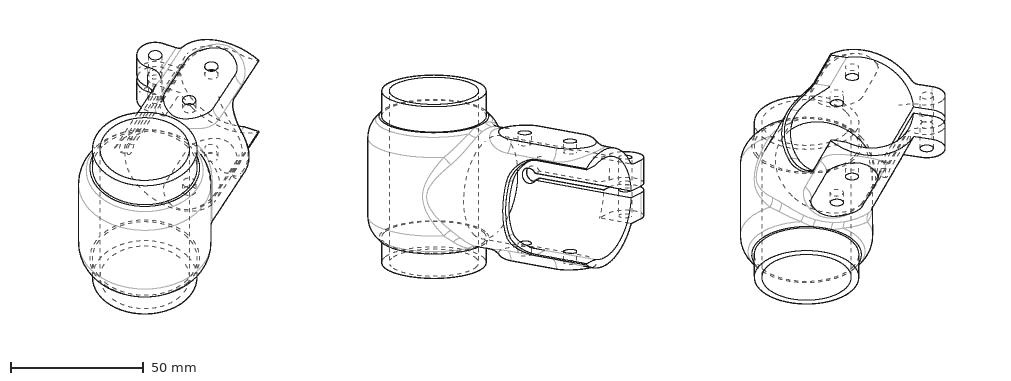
import cadquery as cq
import math

body_radius = 25.0
body_height = 48.0
collar_diameter = 39.5
sleeve_height = 68.0
sleeve_bore = 33.7
shoulder_radius = 10.0
shoulder_chamfer = 4.3

arm_radius = 23.0
arm_end_y = 75.0
arm_bore = 39.5
arm_bore_start_y = 25.0
arm_body_fillet = 4.5

pad_width = 20.0
pad_length = 40.0
pad_center_y = 50.0
pad_hole_spacing = 20.0
pad_fillet = 5.5
pad_end_inset = 2.0
pad_blank_height = 32.0

bolt_hole = 5.0
slit_width = 2.7
slit_start_y = 30.0
relief_diameter = 6.0
ear_radius = 7.0
ear_x = -27.0
ear_half_height = 11.6
ear_side_fillet = 5.0
ear_top_fillet = 3.0

window_start_y = 45.0
window_half_height = 18.6
window_corner = 8.0
window_chamfer = 0.8

ear_y = arm_end_y - ear_radius
ear_side_y = ear_y - ear_radius

beyond_part = 100.0
selection_margin = 1.0
rim_selection_margin = 0.1


def edges_in_box(solid, low, high):
    """Edges whose bounding boxes lie wholly inside the given box."""
    return solid.edges(cq.selectors.BoxSelector(low, high, True))


def cylinder_z(diameter, height):
    return cq.Workplane("XY").circle(diameter / 2).extrude(height / 2, both=True)


def cylinder_y(radius, start_y, end_y):
    return cq.Workplane("XZ", origin=(0, start_y, 0)).circle(radius).extrude(start_y - end_y)


def shouldered_body():
    """Barrel with 45 degree shoulders, blended into its side by a tangent arc."""
    half_height = body_height / 2
    rim_radius = body_radius - shoulder_chamfer
    tangent_length = shoulder_radius * math.tan(math.pi / 8)
    shoulder_start_z = half_height - shoulder_chamfer - tangent_length
    blend_center = body_radius - shoulder_radius

    def blend_point(angle):
        x = blend_center + shoulder_radius * math.cos(angle)
        z = shoulder_start_z + shoulder_radius * math.sin(angle)
        return x, z

    middle_x, middle_z = blend_point(math.pi / 8)
    cone_x, cone_z = blend_point(math.pi / 4)
    profile = (
        cq.Workplane("XZ")
        .moveTo(0, -half_height)
        .lineTo(rim_radius, -half_height)
        .lineTo(cone_x, -cone_z)
        .threePointArc((middle_x, -middle_z), (body_radius, -shoulder_start_z))
        .lineTo(body_radius, shoulder_start_z)
        .threePointArc((middle_x, middle_z), (cone_x, cone_z))
        .lineTo(rim_radius, half_height)
        .lineTo(0, half_height)
        .close()
    )
    return profile.revolve(360, (0, 0), (0, 1)).rotate((0, 0, 0), (0, 0, 1), -90)


def body_with_arm():
    arm = cylinder_y(arm_radius, 0, arm_end_y).rotate((0, 0, 0), (0, 1, 0), 45)
    joined = shouldered_body().union(arm)
    low = (-body_radius, selection_margin, -body_radius)
    high = (body_radius, body_radius, body_radius)
    return edges_in_box(joined, low, high).fillet(arm_body_fillet)


def mounting_pads(part):
    """Flat-topped pads with elliptical ends, flared into the arm above and below."""
    half_width = pad_width / 2
    straight_half = (pad_length - pad_width) / 2
    end_depth = half_width - pad_end_inset
    blank = (
        cq.Workplane("XY")
        .center(0, pad_center_y)
        .moveTo(-half_width, -straight_half)
        .lineTo(-half_width, straight_half)
        .ellipseArc(half_width, end_depth, 0, 180, startAtCurrent=True, sense=-1)
        .lineTo(half_width, -straight_half)
        .ellipseArc(half_width, end_depth, 180, 360, startAtCurrent=True, sense=-1)
        .close()
        .extrude(pad_blank_height)
    )
    part = part.union(blank).union(blank.mirror("XY"))

    reach_x = half_width + selection_margin
    reach_y = pad_length / 2 + selection_margin
    reach_z = arm_radius + selection_margin
    low_y, high_y = pad_center_y - reach_y, pad_center_y + reach_y
    upper = edges_in_box(part, (-reach_x, low_y, 0), (reach_x, high_y, reach_z))
    lower = edges_in_box(part, (-reach_x, low_y, -reach_z), (reach_x, high_y, 0))
    flared = upper.add(lower).fillet(pad_fillet)
    trim = cq.Workplane("XY").box(2 * beyond_part, 2 * beyond_part, body_height)
    return flared.intersect(trim)


def ear_disc(base_z):
    return cq.Workplane("XY", origin=(ear_x, ear_y, base_z)).circle(ear_radius).extrude(ear_half_height)


def upper_ear():
    """Ear whose root is blended into the arm on its top and on its side."""
    reach = arm_radius + ear_top_fillet
    blend_z = ear_half_height + ear_top_fillet
    blend_x = -math.sqrt(reach**2 - blend_z**2)
    contact = (blend_x * arm_radius / reach, blend_z * arm_radius / reach)
    axis_angle = math.atan2(-blend_z, -blend_x)
    middle_angle = (axis_angle - math.pi / 2) / 2
    middle = (
        blend_x + ear_top_fillet * math.cos(middle_angle),
        blend_z + ear_top_fillet * math.sin(middle_angle),
    )
    blend_y = ear_side_y - ear_side_fillet
    root = (
        cq.Workplane("XZ", origin=(0, blend_y, 0))
        .moveTo(ear_x, 0)
        .lineTo(ear_x, ear_half_height)
        .lineTo(blend_x, ear_half_height)
        .threePointArc(middle, contact)
        .lineTo(-arm_bore / 2, 0)
        .close()
        .extrude(blend_y - arm_end_y)
    )
    outer = arm_radius + ear_side_fillet
    bend = ear_side_fillet * math.sqrt(0.5)
    ring = (
        cq.Workplane("XY")
        .moveTo(arm_radius, blend_y)
        .threePointArc((outer - bend, blend_y + bend), (outer, ear_side_y))
        .lineTo(beyond_part, ear_side_y)
        .lineTo(beyond_part, blend_y)
        .close()
        .revolve(360, (0, 0), (0, 1))
    )
    return root.cut(ring).union(ear_disc(0))


def lower_ear():
    root_length = -ear_x - arm_bore / 4
    root = cq.Workplane("XY", origin=(ear_x, ear_side_y, -ear_half_height)).box(
        root_length, 2 * ear_radius, ear_half_height, centered=False
    )
    return root.union(ear_disc(-ear_half_height))


def cut_window(part):
    """Opening through the +X wall of the arm, with a chamfered outer rim."""
    length = beyond_part - window_start_y
    opening = (
        cq.Workplane("XY")
        .box(beyond_part, length, 2 * window_half_height, centered=(False, False, True))
        .translate((0, window_start_y, 0))
        .edges("|X and <Y")
        .fillet(window_corner)
    )
    opened = part.cut(opening)
    rim_height = window_half_height + rim_selection_margin
    low = (arm_radius / 2, window_start_y - selection_margin, -rim_height)
    high = (arm_radius + selection_margin, arm_end_y + selection_margin, rim_height)
    return edges_in_box(opened, low, high).chamfer(window_chamfer)


def slit():
    """Clamp slit in the -X wall, ending in a round relief hole."""
    slot = (
        cq.Workplane("XY")
        .box(beyond_part, beyond_part, slit_width, centered=(False, False, True))
        .translate((-beyond_part, slit_start_y, 0))
    )
    relief = cq.Workplane("YZ").center(slit_start_y, 0).circle(relief_diameter / 2).extrude(-beyond_part)
    return slot.union(relief)


def bolt_holes():
    half_spacing = pad_hole_spacing / 2
    centers = [
        (0, pad_center_y - half_spacing),
        (0, pad_center_y + half_spacing),
        (ear_x, ear_y),
    ]
    return cq.Workplane("XY").pushPoints(centers).circle(bolt_hole / 2).extrude(beyond_part, both=True)


part = mounting_pads(body_with_arm())
part = cut_window(part)
part = part.union(upper_ear()).union(lower_ear())
part = part.union(cylinder_z(collar_diameter, sleeve_height))
part = part.cut(cylinder_z(sleeve_bore, sleeve_height))
part = part.cut(cylinder_y(arm_bore / 2, arm_bore_start_y, arm_end_y))
result = part.cut(slit()).cut(bolt_holes())